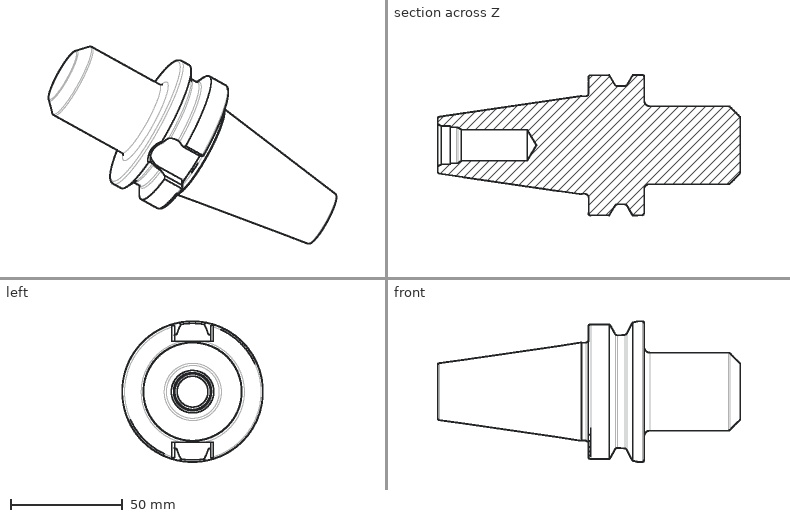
import cadquery as cq
import math


TAPER_RATIO = 7 / 24
GAUGE_X = 65.4
GAUGE_RADIUS = 44.45 / 2
TAPER_END_X = 64.15
NECK_X = 64.4
NECK_RADIUS = 21.9
TAPER_END_FILLET = 1.0
NECK_FILLET = 1.2

FLANGE_RADIUS = 63.0 / 2
FLANGE_X = GAUGE_X + 2.0
FLANGE_END_X = GAUGE_X + 27.0
FLANGE_FILLET = 1.0

GROOVE_X = GAUGE_X + 16.6
GROOVE_HALF_WIDTH = 5.2
GROOVE_RADIUS = 53.0 / 2
GROOVE_FLANK_ANGLE = 60.0
GROOVE_FILLET = 1.0

NOSE_END_X = GAUGE_X + 70.0
NOSE_RADIUS = 35.0 / 2
NOSE_ROOT_FILLET = 2.5
NOSE_CHAMFER = 5.0
NOSE_EDGE_FILLET = 1.0

SLOT_WIDTH = 16.1
SLOT_FLOOR = 22.6
SLOT_END_X = 88.5
SLOT_CHAMFER = 1.2
SLOT_END_CHAMFER = 1.0

CENTER_RADIUS = 19.0 / 2
PILOT_RADIUS = 17.0 / 2
PILOT_DEPTH = 5.6
THREAD_RADIUS = 16.0 / 2
THREAD_LEAD_DEPTH = 8.8
THREAD_LEAD_FILLET = 1.5
CORE_RADIUS = 13.8 / 2
CORE_DEPTH = 40.0
CONE_ANGLE = 30.0
DRILL_POINT_ANGLE = 118.0

CUT_CLEARANCE = 1.0
MATCH_TOLERANCE = 0.01
X_AXIS = ((0, 0, 0), (1, 0, 0))


def taper_radius(x):
    """Radius of the taper at a distance x from its small end."""
    return GAUGE_RADIUS - (GAUGE_X - x) * TAPER_RATIO / 2


def revolve(points):
    """Turn a closed (x, radius) outline about the X axis."""
    return cq.Workplane("XY").polyline(points).close().revolve(360, *X_AXIS)


def circle_edge(body, x, radius):
    """The circular edge of the body about the X axis at the given place."""

    def matches(edge):
        return abs(edge.Center().x - x) < MATCH_TOLERANCE and abs(edge.radius() - radius) < MATCH_TOLERANCE

    return body.edges("%CIRCLE").filter(matches)


def make_body():
    """Turned outside shape, solid and without slots."""
    groove_flank = (FLANGE_RADIUS - GROOVE_RADIUS) / math.tan(math.radians(GROOVE_FLANK_ANGLE))
    floor_half_width = GROOVE_HALF_WIDTH - groove_flank
    nose_tip_radius = NOSE_RADIUS - NOSE_CHAMFER
    chamfer_x = NOSE_END_X - NOSE_CHAMFER

    body = revolve([
        (0, 0),
        (0, taper_radius(0)),
        (TAPER_END_X, taper_radius(TAPER_END_X)),
        (NECK_X, NECK_RADIUS),
        (FLANGE_X, NECK_RADIUS),
        (FLANGE_X, FLANGE_RADIUS),
        (GROOVE_X - GROOVE_HALF_WIDTH, FLANGE_RADIUS),
        (GROOVE_X - floor_half_width, GROOVE_RADIUS),
        (GROOVE_X + floor_half_width, GROOVE_RADIUS),
        (GROOVE_X + GROOVE_HALF_WIDTH, FLANGE_RADIUS),
        (FLANGE_END_X, FLANGE_RADIUS),
        (FLANGE_END_X, NOSE_RADIUS),
        (chamfer_x, NOSE_RADIUS),
        (NOSE_END_X, nose_tip_radius),
        (NOSE_END_X, 0),
    ])

    rounded_edges = [
        (0, taper_radius(0), TAPER_END_FILLET),
        (FLANGE_X, NECK_RADIUS, NECK_FILLET),
        (FLANGE_X, FLANGE_RADIUS, FLANGE_FILLET),
        (GROOVE_X - floor_half_width, GROOVE_RADIUS, GROOVE_FILLET),
        (GROOVE_X + floor_half_width, GROOVE_RADIUS, GROOVE_FILLET),
        (FLANGE_END_X, FLANGE_RADIUS, FLANGE_FILLET),
        (FLANGE_END_X, NOSE_RADIUS, NOSE_ROOT_FILLET),
        (chamfer_x, NOSE_RADIUS, NOSE_EDGE_FILLET),
        (NOSE_END_X, nose_tip_radius, NOSE_EDGE_FILLET),
    ]
    for x, radius, fillet in rounded_edges:
        body = circle_edge(body, x, radius).fillet(fillet)
    return body


def make_bore():
    """Stepped bore, shaped as the solid to be removed."""
    cone_slope = math.tan(math.radians(CONE_ANGLE))
    point_length = CORE_RADIUS / math.tan(math.radians(DRILL_POINT_ANGLE / 2))
    bore = revolve([
        (0, 0),
        (0, CENTER_RADIUS),
        ((CENTER_RADIUS - PILOT_RADIUS) / cone_slope, PILOT_RADIUS),
        (PILOT_DEPTH, PILOT_RADIUS),
        (PILOT_DEPTH, THREAD_RADIUS),
        (THREAD_LEAD_DEPTH, THREAD_RADIUS),
        (THREAD_LEAD_DEPTH + (THREAD_RADIUS - CORE_RADIUS) / cone_slope, CORE_RADIUS),
        (CORE_DEPTH, CORE_RADIUS),
        (CORE_DEPTH + point_length, 0),
    ])
    return circle_edge(bore, THREAD_LEAD_DEPTH, THREAD_RADIUS).fillet(THREAD_LEAD_FILLET)


def make_slot_cutter():
    """Drive slot on the +Z side, with its rear corners and the rim of its side walls broken."""
    half_width = SLOT_WIDTH / 2
    flared_half_width = half_width + SLOT_CHAMFER
    arc_x = SLOT_END_X - half_width
    above_flange = FLANGE_RADIUS + CUT_CLEARANCE

    slot = (
        cq.Workplane("XY", origin=(0, 0, SLOT_FLOOR))
        .moveTo(NECK_X, -flared_half_width)
        .lineTo(FLANGE_X, -flared_half_width)
        .lineTo(FLANGE_X + SLOT_CHAMFER, -half_width)
        .lineTo(arc_x, -half_width)
        .threePointArc((SLOT_END_X, 0), (arc_x, half_width))
        .lineTo(FLANGE_X + SLOT_CHAMFER, half_width)
        .lineTo(FLANGE_X, flared_half_width)
        .lineTo(NECK_X, flared_half_width)
        .close()
        .extrude(above_flange - SLOT_FLOOR)
    )

    wall_z = math.sqrt(FLANGE_RADIUS**2 - half_width**2) - SLOT_CHAMFER
    rim_z = math.sqrt(FLANGE_RADIUS**2 - flared_half_width**2)
    rim_slope = (rim_z - wall_z) / SLOT_CHAMFER
    top_half_width = half_width + (above_flange - wall_z) / rim_slope
    rim = (
        cq.Workplane("YZ", origin=(NECK_X, 0, 0))
        .moveTo(-half_width, wall_z)
        .lineTo(half_width, wall_z)
        .lineTo(top_half_width, above_flange)
        .lineTo(-top_half_width, above_flange)
        .close()
        .extrude(GROOVE_X - NECK_X)
    )
    return slot.union(rim)


def cut_drive_slots(body):
    """Cut the two opposite drive slots and bevel the rims of their rounded ends."""
    cutter = make_slot_cutter()
    for turn in (0, 180):
        body = body.cut(cutter.rotate(*X_AXIS, turn))
    for side in (1, -1):
        slot_end_rim = cq.selectors.NearestToPointSelector((SLOT_END_X, 0, side * FLANGE_RADIUS))
        body = body.edges(slot_end_rim).chamfer(SLOT_END_CHAMFER)
    return body


result = cut_drive_slots(make_body().cut(make_bore()))